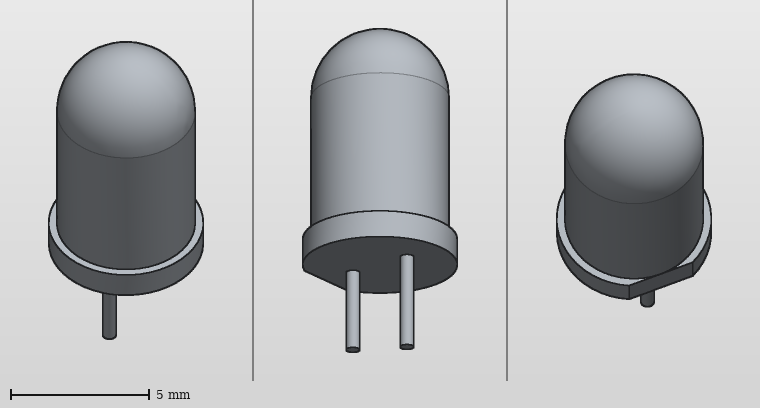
import cadquery as cq

total_height = 12.48
lens_diameter = 5.0
flange_diameter = 5.59
flange_height = 1.0
lead_diameter = 0.5
lead_spacing = 2.5
long_lead_length = 3.5
short_lead_length = 3.0

lens_radius = lens_diameter / 2
flange_radius = flange_diameter / 2
lens_top = total_height - long_lead_length
dome_base = lens_top - lens_radius
flat_y = lens_radius


def make_flange():
    """Round flange with one flat on its +Y side."""
    disc = cq.Workplane("XY").circle(flange_radius).extrude(flange_height)
    depth = flange_radius + flat_y
    keep = (
        cq.Workplane("XY")
        .center(0, flat_y - depth / 2)
        .rect(flange_diameter, depth)
        .extrude(flange_height)
    )
    return disc.intersect(keep)


def make_lens():
    """Cylinder topped by a hemispherical dome, revolved about Z."""
    dome_middle = lens_radius * 0.5 ** 0.5
    return (
        cq.Workplane("XZ")
        .lineTo(lens_radius, 0)
        .lineTo(lens_radius, dome_base)
        .threePointArc((dome_middle, dome_base + dome_middle), (0, lens_top))
        .close()
        .revolve(360, (0, 0), (0, 1))
    )


def make_housing():
    """Lens and flange moulded as one solid."""
    return make_flange().union(make_lens())


def make_lead(y, length):
    """Round lead hanging from the underside of the flange."""
    return cq.Workplane("XY").center(0, y).circle(lead_diameter / 2).extrude(-length)


housing = make_housing()
lead_places = [
    (-lead_spacing / 2, long_lead_length),
    (lead_spacing / 2, short_lead_length),
]
leads = [make_lead(y, length) for y, length in lead_places]

result = cq.Compound.makeCompound([housing.val(), *[lead.val() for lead in leads]])